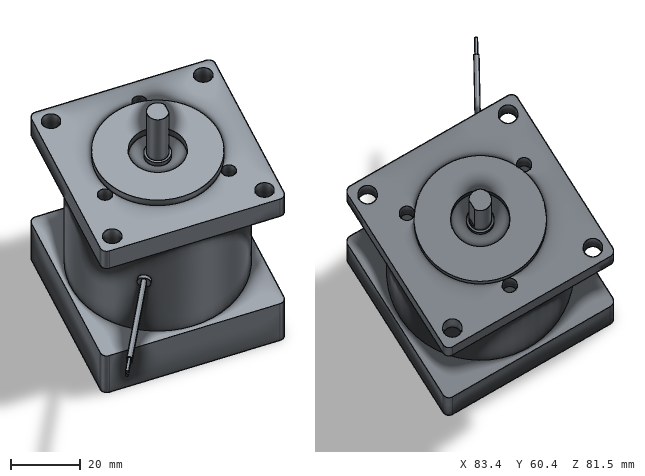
import cadquery as cq
import math

SQUARE_SIDE = 57.0
CORNER_RADIUS = 2.0
BASE_HEIGHT = 16.1
DRUM_DIAMETER = 54.0
DRUM_HEIGHT = 38.4
FLANGE_THICKNESS = 7.6
DRUM_TOP = BASE_HEIGHT + DRUM_HEIGHT
FLANGE_TOP = DRUM_TOP + FLANGE_THICKNESS

PILOT_DIAMETER = 38.1
PILOT_HEIGHT = 2.4
PILOT_TOP = FLANGE_TOP + PILOT_HEIGHT
RECESS_DIAMETER = 17.0
RECESS_DEPTH = PILOT_HEIGHT
RECESS_FLOOR = PILOT_TOP - RECESS_DEPTH

MOUNT_HOLE_DIAMETER = 5.6
MOUNT_HOLE_SPACING = 47.2
SCREW_HOLE_DIAMETER = 4.3
SCREW_HOLE_COUNT = 3
SCREW_CIRCLE_RADIUS = (PILOT_DIAMETER + SCREW_HOLE_DIAMETER) / 2
SCREW_START_ANGLE = 52.5

OVERALL_HEIGHT = 81.5
SHAFT_DIAMETER = 6.5
COLLAR_DIAMETER = 8.0
COLLAR_HEIGHT = 1.5
FLAT_DISTANCE = 2.8
FLAT_CLEARANCE = 0.9
FLAT_START = PILOT_TOP + FLAT_CLEARANCE

CABLE_ANGLE = -30
CABLE_HEIGHT = 38.45
GROMMET_DIAMETER = 4.0
GROMMET_REACH = 28.1
WIRE_PITCH = 1.5
INSULATION_DIAMETER = 1.6
INSULATION_REACH = 58.0
CONDUCTOR_DIAMETER = 0.9
CONDUCTOR_REACH = 63.1
CABLE_EMBED_DEPTH = 1.7
CABLE_ROOT = DRUM_DIAMETER / 2 - CABLE_EMBED_DEPTH


def disc(diameter, bottom, height):
    """Upright cylinder on the motor axis."""
    return cq.Workplane().workplane(offset=bottom).circle(diameter / 2).extrude(height)


def square_block(bottom, height):
    """Square block with rounded upright corners."""
    block = cq.Workplane().workplane(offset=bottom).rect(SQUARE_SIDE, SQUARE_SIDE).extrude(height)
    return block.edges("|Z").fillet(CORNER_RADIUS)


def mount_holes():
    """Four holes through the flange corners."""
    return (
        cq.Workplane()
        .workplane(offset=DRUM_TOP)
        .rect(MOUNT_HOLE_SPACING, MOUNT_HOLE_SPACING, forConstruction=True)
        .vertices()
        .circle(MOUNT_HOLE_DIAMETER / 2)
        .extrude(FLANGE_THICKNESS)
    )


def screw_holes():
    """Three holes tangent to the pilot boss, as deep as the flange."""
    return (
        cq.Workplane()
        .workplane(offset=DRUM_TOP)
        .polarArray(SCREW_CIRCLE_RADIUS, SCREW_START_ANGLE, 360, SCREW_HOLE_COUNT)
        .circle(SCREW_HOLE_DIAMETER / 2)
        .extrude(FLANGE_THICKNESS)
    )


def cable_rod(diameter, reach, height):
    """Radial rod from inside the drum out to the given distance from the motor axis."""
    angle = math.radians(CABLE_ANGLE)
    direction = cq.Vector(math.cos(angle), math.sin(angle), 0)
    start = direction * CABLE_ROOT + cq.Vector(0, 0, height)
    return cq.Workplane(cq.Solid.makeCylinder(diameter / 2, reach - CABLE_ROOT, start, direction))


def make_cable():
    """Grommet with two insulated wires, one above the other, and their bare ends."""
    cable = cable_rod(GROMMET_DIAMETER, GROMMET_REACH, CABLE_HEIGHT)
    for side in (-1, 1):
        wire_height = CABLE_HEIGHT + side * WIRE_PITCH / 2
        cable = cable.union(cable_rod(INSULATION_DIAMETER, INSULATION_REACH, wire_height))
        cable = cable.union(cable_rod(CONDUCTOR_DIAMETER, CONDUCTOR_REACH, wire_height))
    return cable


def make_housing():
    """Motor housing with its cable as one solid."""
    flange = square_block(DRUM_TOP, FLANGE_THICKNESS).cut(mount_holes())
    pilot = disc(PILOT_DIAMETER, FLANGE_TOP, PILOT_HEIGHT)
    recess = disc(RECESS_DIAMETER, RECESS_FLOOR, RECESS_DEPTH)
    return (
        square_block(0, BASE_HEIGHT)
        .union(disc(DRUM_DIAMETER, BASE_HEIGHT, DRUM_HEIGHT))
        .union(flange)
        .cut(screw_holes())
        .union(pilot)
        .cut(recess)
        .union(make_cable())
    )


def make_shaft():
    """Output shaft and collar standing on the recess floor."""
    flat_height = OVERALL_HEIGHT - FLAT_START
    flat_cutter = (
        cq.Workplane()
        .box(SHAFT_DIAMETER, SHAFT_DIAMETER, flat_height, centered=(True, False, False))
        .translate((0, FLAT_DISTANCE, FLAT_START))
    )
    return (
        disc(SHAFT_DIAMETER, RECESS_FLOOR, OVERALL_HEIGHT - RECESS_FLOOR)
        .union(disc(COLLAR_DIAMETER, RECESS_FLOOR, COLLAR_HEIGHT))
        .cut(flat_cutter)
    )


housing = make_housing()
shaft = make_shaft()

result = cq.Compound.makeCompound([housing.solids().val(), shaft.solids().val()])